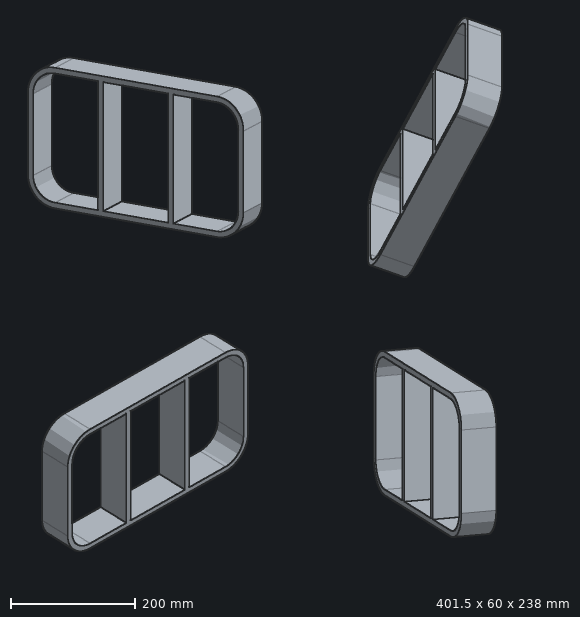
import cadquery as cq

wall = 10.0
bay_count = 3
bay_width = 120.5
height = 238.0
depth = 60.0
corner_radius = 50.0

bay_pitch = bay_width + wall
length = bay_count * bay_pitch + wall
inner_length = length - 2 * wall
inner_height = height - 2 * wall
inner_radius = corner_radius - wall


def rounded_block(size_x, size_z, radius):
    """Block centred on the origin, with its four Y-direction edges rounded."""
    return cq.Workplane("XY").box(size_x, depth, size_z).edges("|Y").fillet(radius)


def outer_band():
    """Closed rounded band of even wall thickness, open along Y."""
    outside = rounded_block(length, height, corner_radius)
    inside = rounded_block(inner_length, inner_height, inner_radius)
    return outside.cut(inside)


def divider(index):
    """Upright plate on the far side of the bay numbered index, counted from -X."""
    center_x = (wall - length) / 2 + (index + 1) * bay_pitch
    return cq.Workplane("XY").box(wall, depth, height - wall).translate((center_x, 0, 0))


result = outer_band()
for bay in range(bay_count - 1):
    result = result.union(divider(bay))